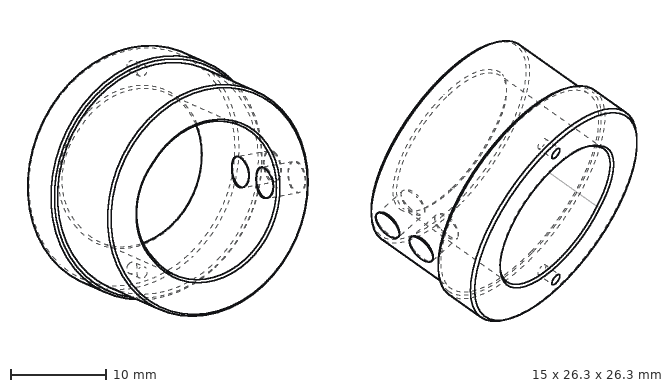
import cadquery as cq

total_length = 15.0
flange_length = 5.07
flange_radius = 13.15
barrel_radius = 12.5
front_chamfer = 0.32
edge_chamfer = 0.25

bore_radius = 8.55
lobe_radius = 7.55
lobe_offset = 1.31
bore_chamfer = 0.25

face_hole_radius = 0.63
face_hole_offset = 11.02
face_hole_depth = 2.0

plug_radius = 1.65
first_plug_x = 7.73
plug_spacing = 4.7
plug_count = 2
plug_inner_y = 8.6
plug_outer_y = 12.57
plug_positions = [first_plug_x + i * plug_spacing for i in range(plug_count)]


def disc(radius, start_x, length, center_y=0, center_z=0):
    """Cylinder along +X starting at start_x."""
    return (
        cq.Workplane("YZ", origin=(start_x, center_y, center_z))
        .circle(radius)
        .extrude(length)
    )


def radial_cylinder(x, start_y, end_y):
    """Cylinder along +Y with the plug radius."""
    return (
        cq.Workplane("XZ", origin=(x, end_y, 0))
        .circle(plug_radius)
        .extrude(end_y - start_y)
    )


def make_sleeve():
    """Flange and barrel with chamfered outer edges."""
    flange = disc(flange_radius, 0, flange_length)
    flange = flange.faces("<X").chamfer(front_chamfer)
    flange = flange.faces(">X").chamfer(edge_chamfer)
    barrel = disc(barrel_radius, 0, total_length).faces(">X").chamfer(edge_chamfer)
    return flange.union(barrel)


def bevelled_hole(radius, center_y):
    """Through hole along X, widened by a 45 degree bevel at both ends."""
    rim_radius = radius + bore_chamfer
    profile = [
        (0, 0),
        (0, rim_radius),
        (bore_chamfer, radius),
        (total_length - bore_chamfer, radius),
        (total_length, rim_radius),
        (total_length, 0),
    ]
    hole = cq.Workplane("XY").polyline(profile).close().revolve(360, (0, 0, 0), (1, 0, 0))
    return hole.translate((0, center_y, 0))


def make_bore():
    """Round bore joined with its relief lobe."""
    return bevelled_hole(bore_radius, 0).union(bevelled_hole(lobe_radius, -lobe_offset))


def make_housing():
    """Sleeve with its bore, face holes and plug holes."""
    housing = make_sleeve().cut(make_bore())
    for side in (-1, 1):
        housing = housing.cut(
            disc(face_hole_radius, 0, face_hole_depth, center_z=side * face_hole_offset)
        )
    for x in plug_positions:
        housing = housing.cut(radial_cylinder(x, 0, flange_radius))
    return housing


def make_plug(x):
    """Flat-ended plug, standing slightly proud of the barrel."""
    return radial_cylinder(x, plug_inner_y, plug_outer_y)


housing = make_housing()
plugs = [make_plug(x) for x in plug_positions]

result = cq.Compound.makeCompound([housing.val(), *[plug.val() for plug in plugs]])